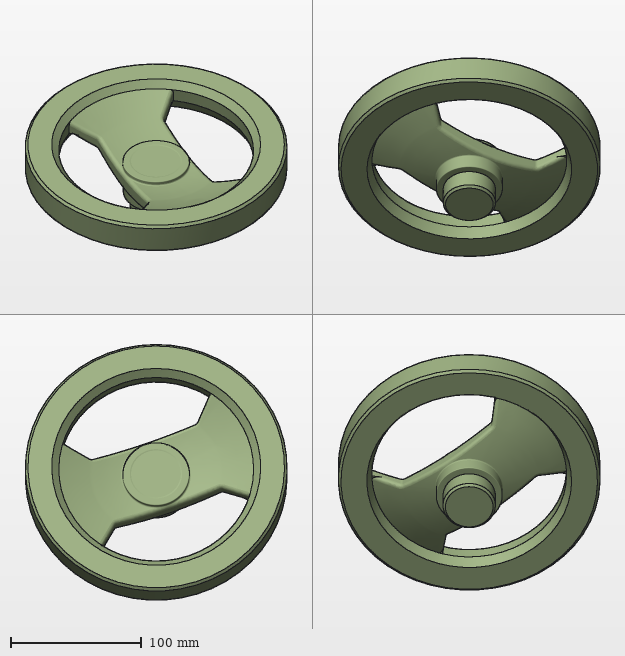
import cadquery as cq

rim_radius = 100.0
rim_height = 25.0
rim_chamfer = 2.0
rim_mouth_radius = 79.8
rim_bore_radius = 74.5
rim_foot_radius = 78.2
upper_taper_z = 19.5
lower_taper_z = 9.0
web_embed = 2.0

web_top_inner = (24.0, 4.8)
web_top_middle = (50.0, 10.5)
web_bottom_inner = (25.2, -9.5)
web_bottom_middle = (54.5, 0.0)
spoke_half_width = 28.0
spoke_bend_x = 43.2
spoke_edge_radius = 3.0
spoke_bend_radius = 3.0

boss_radius = 51.0 / 2
boss_top_z = 8.5
boss_edge_radius = 0.5
cap_radius = 20.0
cap_floor_radius = 19.0
cap_recess = 0.2
collar_radius = 50.5 / 2
collar_bottom_z = -21.0
collar_edge_radius = 0.5
hub_root_radius = 1.0
shaft_radius = 40.0 / 2
shaft_bottom_z = -36.5
shaft_chamfer = 1.8


def make_rim():
    """Ring with chamfered outer corners and a bore that flares at both ends."""
    profile = [
        (rim_mouth_radius, rim_height),
        (rim_radius - rim_chamfer, rim_height),
        (rim_radius, rim_height - rim_chamfer),
        (rim_radius, rim_chamfer),
        (rim_radius - rim_chamfer, 0),
        (rim_foot_radius, 0),
        (rim_bore_radius, lower_taper_z),
        (rim_bore_radius, upper_taper_z),
    ]
    return cq.Workplane("XZ").polyline(profile).close().revolve(360, (0, 0), (0, 1))


def make_dish():
    """Full dished disc between two revolved arcs, extended into the rim."""
    outer_radius = rim_bore_radius + web_embed
    return (
        cq.Workplane("XZ")
        .moveTo(0, web_bottom_inner[1])
        .lineTo(*web_bottom_inner)
        .threePointArc(web_bottom_middle, (rim_bore_radius, lower_taper_z))
        .lineTo(outer_radius, lower_taper_z)
        .lineTo(outer_radius, upper_taper_z)
        .lineTo(rim_bore_radius, upper_taper_z)
        .threePointArc(web_top_middle, web_top_inner)
        .lineTo(0, web_top_inner[1])
        .close()
        .revolve(360, (0, 0), (0, 1))
    )


def make_window(side):
    """Prism that clears the opening on the +Y (side = 1) or -Y (side = -1) side."""
    flare = rim_radius - spoke_half_width
    near_y = side * spoke_half_width
    far_y = side * rim_radius
    return (
        cq.Workplane("XY")
        .workplane(offset=collar_bottom_z)
        .polyline([
            (-spoke_bend_x, near_y),
            (spoke_bend_x, near_y),
            (spoke_bend_x + flare, far_y),
            (-spoke_bend_x - flare, far_y),
        ])
        .close()
        .extrude(rim_height - collar_bottom_z)
    )


def make_web():
    """Dish with both windows cut, the bends rounded and the long window edges rounded."""
    web = make_dish()
    for side in (1, -1):
        web = web.cut(make_window(side))
    bend_reach = spoke_bend_x + spoke_bend_radius
    bend_box = cq.selectors.BoxSelector(
        (-bend_reach, -rim_radius, -rim_height),
        (bend_reach, rim_radius, rim_height),
    )
    web = web.edges("|Z").edges(bend_box).fillet(spoke_bend_radius)
    spoke_faces = [
        face for face in web.faces("%PLANE").vals() if abs(face.normalAt().y) > 0.5
    ]
    rounded_edges = [
        edge for face in spoke_faces for edge in face.Edges()
        if edge.geomType() != "LINE"
    ]
    return web.newObject(rounded_edges).fillet(spoke_edge_radius)


def make_hub():
    """Stepped hub: boss above the web, collar and shaft below it."""
    boss = cq.Workplane("XY").circle(boss_radius).extrude(boss_top_z)
    boss = boss.faces(">Z").fillet(boss_edge_radius)
    recess = cq.Solid.makeCone(
        cap_floor_radius, cap_radius, cap_recess, pnt=cq.Vector(0, 0, boss_top_z - cap_recess)
    )
    collar = cq.Workplane("XY").circle(collar_radius).extrude(collar_bottom_z)
    collar = collar.faces("<Z").fillet(collar_edge_radius)
    shaft = cq.Workplane("XY").circle(shaft_radius).extrude(shaft_bottom_z)
    shaft = shaft.faces("<Z").chamfer(shaft_chamfer)
    return boss.cut(recess).union(collar).union(shaft)


def round_hub_roots(wheel):
    """Blend the boss and the collar into the web."""
    def is_root(edge):
        """True for an edge around the hub that runs where the web meets its wall."""
        box = edge.BoundingBox()
        at_hub = max(abs(box.xmin), box.xmax) < spoke_half_width
        above_collar_end = box.zmin > (collar_bottom_z + web_bottom_inner[1]) / 2
        below_boss_end = box.zmax < boss_top_z - 2 * boss_edge_radius
        return at_hub and above_collar_end and below_boss_end

    root_edges = [edge for edge in wheel.edges().vals() if is_root(edge)]
    return wheel.newObject(root_edges).fillet(hub_root_radius)


wheel = make_rim().union(make_web()).union(make_hub())
result = round_hub_roots(wheel)